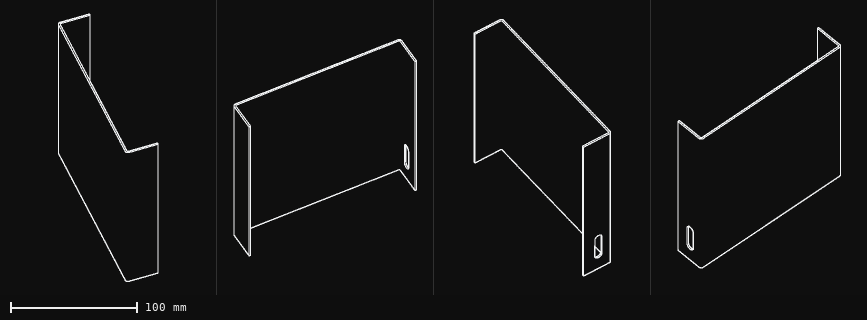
import cadquery as cq

width = 149.9
depth = 27.0
height = 149.9

thickness = 1.5
inner_bend_radius = 0.7
outer_bend_radius = inner_bend_radius + thickness

slot_width = 7.0
slot_length = 25.5
slot_center_y = 12.7
slot_center_z = 25.5


def make_channel():
    """U-shaped channel with its web on the -Y side and flanges toward +Y."""
    outer = (
        cq.Workplane("XY")
        .box(width, depth, height, centered=(True, False, False))
        .edges("|Z and <Y")
        .fillet(outer_bend_radius)
    )
    cavity = (
        cq.Workplane("XY")
        .box(width - 2 * thickness, depth - thickness, height, centered=(True, False, False))
        .edges("|Z and <Y")
        .fillet(inner_bend_radius)
        .translate((0, thickness, 0))
    )
    return outer.cut(cavity)


def make_slot_cutter():
    """Upright round-ended slot passing through the -X flange only."""
    return (
        cq.Workplane("YZ", origin=(-width / 2 - thickness, slot_center_y, slot_center_z))
        .slot2D(slot_length, slot_width, angle=90)
        .extrude(3 * thickness)
    )


result = make_channel().cut(make_slot_cutter())